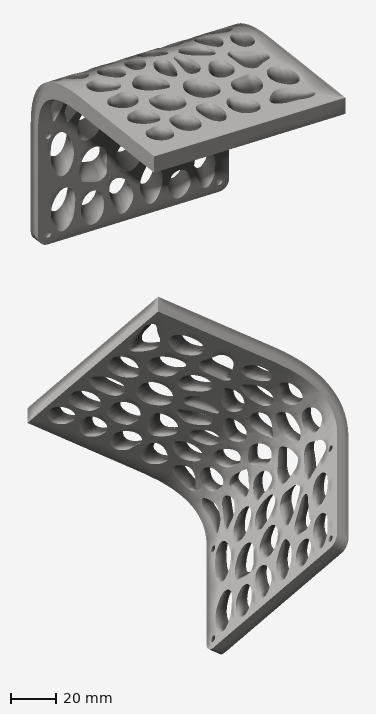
import cadquery as cq
import math

LENGTH = 103.0
WIDTH = 99.0
HEIGHT = 93.0
WALL_THICKNESS = 6.2
SHELF_THICKNESS = 8.2

BEND_LENGTH = 40.0
BEND_DROP = 32.9

CORNER_RADIUS = 5.2
SCREW_DIAMETER = 3.1
SCREW_EDGE_GAP = 5.0
SCREW_SPACING_Z = 50.0

OPENING_SLANT = 0.86
CUTTER_HALF_LENGTH = 92.7

SHELF_OPENINGS = [
    [(12.3, 36.8), (13.8, 41.1), (17.7, 42.4), (21.3, 41.9),
     (23.6, 38.3), (22.0, 34.8), (16.6, 30.9), (13.5, 32.4)],
    [(27.8, 38.3), (29.9, 41.9), (34.6, 43.3), (39.7, 42.0),
     (42.0, 38.3), (40.5, 34.9), (34.9, 33.7), (29.9, 35.2)],
    [(41.4, 28.5), (44.7, 34), (51.0, 40.7), (54.1, 40.7), (57.3, 35.6),
     (59.6, 29.3), (57.3, 26.7), (47.1, 25.6), (42.4, 26.2)],
    [(62.8, 36.4), (65.8, 41.1), (72.9, 42.5), (79.1, 40.7),
     (80.9, 37.2), (77.6, 32.4), (70.6, 30.4), (65.1, 32.4)],
    [(81.2, 28.5), (83.9, 34), (87.8, 37.5), (91.9, 41.0), (94.0, 38.7),
     (93.7, 30.9), (92.4, 22.6), (89.7, 19.6), (83.4, 23.4)],
    [(19.0, 25.3), (21.3, 30.1), (26.8, 31.6), (32.7, 30.1),
     (35.3, 26.9), (33, 24.2), (24.0, 21.4), (20.1, 22.6)],
    [(44.4, 17.5), (46.7, 21.0), (52.1, 22.4), (57.3, 20.6),
     (59.7, 15.9), (58.4, 11.5), (54.9, 10.2), (48.6, 12.4)],
    [(62.8, 22.3), (64.3, 25.8), (68.2, 26.4), (74.5, 24.6),
     (78.6, 19.1), (76.0, 13.5), (70.1, 11.7), (64.7, 14.3)],
    [(8.9, 12.0), (11.8, 15.6), (17.5, 18.6), (20.5, 16.3),
     (21.1, 12.0), (19.4, 8.7), (15.5, 7.7), (10.3, 10.0)],
    [(25.8, 13.5), (28.3, 19.1), (36.9, 22.6), (39.8, 21.4),
     (38.5, 16.7), (33.8, 10.8), (29.0, 9.2), (26.4, 11.2)],
    [(31.9, 5.7), (34.6, 8.9), (40.8, 10.3), (46.7, 9.6),
     (49.9, 5.3), (48.6, 2.5), (44.0, 2.2), (36.2, 3.5)],
    [(76.1, 6.5), (79.1, 11.2), (86.9, 14.5), (91.7, 12.4),
     (92.8, 8.4), (90.5, 3.7), (83.9, 1.5), (78.4, 3.3)],
    [(15.0, -0.6), (17.4, 4.1), (23.3, 6.0), (27.1, 4.8),
     (26.8, 0.9), (22.9, -4.2), (19.0, -5.9), (16.2, -4.2)],
    [(30.5, -1.9), (33, 0.7), (38.5, 0.3), (45.5, -1.9),
     (47.7, -3.8), (45.5, -6.5), (38.5, -8.3), (32.7, -6.2)],
    [(53.0, -1.4), (56.5, 4.8), (63.6, 7.5), (69, 6.1),
     (71.4, 0.9), (69, -4.9), (61.9, -7.3), (55.3, -4.9)],
    [(74.1, -7.3), (76.8, -3.0), (83.4, -1.9), (89.3, -3.4),
     (92.2, -6.9), (89.7, -10.5), (83.4, -12.2), (76.0, -11.2)],
    [(9.8, -14.0), (10.7, -10.1), (13.2, -8.8), (16.2, -10.7),
     (18.9, -18.3), (17.4, -20.7), (14.6, -21.5), (11.1, -19.2)],
    [(21.3, -12.1), (22.9, -8.1), (26.4, -7.2), (30.7, -8.9),
     (34, -13.2), (32.7, -16.0), (27.9, -16.9), (22.9, -15.2)],
    [(38.4, -16.4), (41.6, -12.1), (49.4, -9.6), (53.8, -10.7),
     (54.0, -15.6), (51.0, -21.9), (46.4, -24.7), (40.8, -21.9)],
    [(57.7, -20.3), (60.4, -14.0), (65.8, -11.4), (71.3, -13.2),
     (73.2, -17.9), (70.6, -24.2), (63.6, -26.3), (58.8, -24.6)],
    [(20.6, -25.0), (23.3, -21.1), (29.0, -20.0), (33.8, -21.1),
     (35.4, -23.9), (33, -27.8), (26.4, -30.6), (22.0, -28.6)],
    [(76.8, -23.1), (79.9, -17.2), (85.4, -15.6), (90.5, -17.2),
     (92.7, -21.5), (90.1, -26.3), (83.0, -27.8), (78.4, -26.3)],
    [(7.7, -30.6), (9.2, -25.9), (12.7, -25.0), (15.8, -26.3),
     (17.0, -29.4), (15.5, -33.7), (10.7, -36.6), (8.3, -34.9)],
    [(12.5, -41.6), (15.8, -36.9), (21.6, -33.2), (25.1, -35.3),
     (26.0, -38.8), (23.3, -41.6), (16.6, -43.8), (13.1, -43.0)],
    [(30.5, -36.9), (33.8, -31.3), (41.6, -28.5), (43.8, -31.3),
     (43.2, -36.1), (40.8, -40.8), (36.6, -42.3), (31.8, -40.0)],
    [(47.3, -33.7), (49.0, -28.9), (52.9, -27.6), (58.0, -29.8),
     (60.3, -34.1), (58.4, -39.7), (53.4, -42.3), (48.6, -39.2)],
    [(64.1, -35.6), (66.6, -30.6), (72.1, -28.6), (76.4, -29.8),
     (77.5, -33.7), (75.2, -39.2), (70.1, -42.3), (65.5, -39.7)],
    [(80.8, -36.9), (82.7, -32.1), (86.9, -30.7), (91.7, -32.1),
     (93.4, -36.5), (91.3, -40.8), (86.6, -42.7), (81.9, -40.4)],
]

WALL_OPENINGS = [
    [(42.4, 79.5), (40.3, 83.1), (36.4, 84.2), (32.0, 82.9),
     (30.3, 79.5), (32.0, 76.1), (36.6, 75.0), (40.7, 76.6)],
    [(28.3, 84.7), (25.8, 87.5), (22.6, 87.9), (18.6, 85.8), (17.5, 82.3),
     (20.2, 78.5), (23.8, 76.8), (26.6, 79.0), (27.9, 82.3)],
    [(6.5, 82.3), (4.1, 84.9), (-0.6, 86.0), (-5.4, 84.9),
     (-8.0, 82.3), (-4.9, 80.3), (2.5, 78.4), (5.7, 79.9)],
    [(-11.8, 81.9), (-14.0, 82.2), (-22.7, 82.5), (-24.5, 81.5), (-23.6, 78.0),
     (-20.7, 74.1), (-18.3, 73.1), (-15.6, 74.9), (-13.1, 78.8)],
    [(20.2, 71.3), (17.9, 75.2), (11.5, 79.8), (7.6, 76.4), (4.9, 69.3),
     (6.1, 66.1), (10.4, 64.6), (15.9, 66.1), (19.5, 68.5)],
    [(0.8, 72.5), (-1.4, 76.0), (-6.5, 77.5), (-11.2, 75.8),
     (-13.1, 71.3), (-12.1, 68), (-6.5, 68.2), (-1.4, 69.3)],
    [(-26.6, 75.2), (-28.2, 78.4), (-30.9, 79.4), (-33.7, 78.0), (-35.3, 73.7),
     (-35.8, 68.9), (-34.6, 66.0), (-31.7, 67.4), (-28.2, 70.5)],
    [(-37.3, 77.6), (-38.8, 81.5), (-42.3, 83.6), (-44.2, 81.9), (-44.0, 76.8),
     (-43.0, 71.3), (-41.6, 68), (-39.2, 70.5), (-37.6, 74.1)],
    [(41.0, 65.8), (38.7, 69.3), (33.3, 71.9), (26.9, 72.8), (24.8, 70.1),
     (24.6, 65.0), (25.3, 58.7), (27.3, 55.5), (30.9, 56.8), (37.6, 61.1)],
    [(21.2, 55.5), (18.2, 58.5), (13.5, 59.1), (8.0, 58.5), (6.2, 54.8), (7.2, 48.5),
     (9.2, 42.1), (11.5, 40.0), (14.3, 41.4), (18.2, 46.9), (20.5, 51.6)],
    [(2.4, 61.1), (0.2, 64.2), (-3.8, 64.7), (-8.5, 63.9), (-12.1, 60.7),
     (-12.7, 56.3), (-11.6, 52.0), (-8.9, 50.5), (-3.8, 52.0), (0.9, 55.9)],
    [(-15.8, 64.6), (-17.5, 68), (-21.5, 69.1), (-26.3, 67.4), (-29.2, 61.1),
     (-27.8, 55.9), (-23.1, 54.0), (-18.7, 56.3), (-16.4, 60.7)],
    [(-30.9, 49.2), (-33.3, 57.9), (-38.4, 62.0), (-41.9, 59.1),
     (-43.0, 50.9), (-41.6, 43.8), (-37.1, 39.6), (-32.5, 43.0)],
    [(42.4, 44.5), (40.7, 50.9), (36.7, 53.0), (32.2, 50.5),
     (30.8, 44.9), (32.4, 38.6), (36.7, 35.7), (40.7, 38.2)],
    [(29.6, 31.9), (27.7, 41.4), (25.8, 48.8), (24.2, 48.8), (19.9, 42.1),
     (17.1, 35.1), (17.9, 31.2), (23.4, 29.0), (28.5, 30.4)],
    [(4.5, 40.2), (2.9, 45.3), (-1.4, 47.8), (-6.5, 45.7),
     (-9.4, 40.2), (-7.7, 35.1), (-1.4, 31.6), (2.9, 34.7)],
    [(-13.9, 39.9), (-14.8, 46.5), (-18.7, 49.1), (-24.2, 47.7), (-28.0, 39.9),
     (-27.4, 34.7), (-23.5, 32.5), (-15.6, 32.3), (-14.0, 34.3)],
    [(42.3, 22.1), (40.3, 28.8), (36.4, 30.8), (32.7, 28.8),
     (31.3, 24.1), (33.3, 16.2), (37.4, 11.2), (41.5, 15.5)],
    [(29.6, 17.8), (27.7, 22.5), (23.8, 24.3), (19.5, 22.1),
     (18.1, 17.8), (19.5, 12.7), (23.6, 10.2), (28.1, 13.1)],
    [(15.0, 23.7), (12.8, 30.4), (9.8, 33.5), (6.1, 30.4),
     (3.4, 23.3), (4.8, 15.5), (9.2, 11.7), (13.5, 16.2)],
    [(-0.2, 19.4), (-2.2, 24.8), (-9.7, 29.9), (-12.1, 28.0),
     (-12.6, 23.7), (-10.9, 17.0), (-6.2, 11.2), (-2.2, 13.5)],
    [(-15.2, 19.4), (-16.8, 24.5), (-21.1, 27.3), (-25.9, 24.5), (-27.3, 19.4),
     (-25.9, 13.8), (-23.1, 10.7), (-19.6, 10.7), (-16.4, 13.8)],
    [(-30.2, 25.6), (-31.7, 31.2), (-35.3, 33.2), (-40.0, 30.4),
     (-42.9, 22.5), (-41.2, 15.5), (-36.9, 11.6), (-32.1, 15.5)],
]


def make_bracket():
    """Extrude the bent strip; both skins are parabolas tangent to the flats."""
    bend_bottom = HEIGHT - BEND_DROP
    inner_top = HEIGHT - SHELF_THICKNESS
    return (
        cq.Workplane("XZ", origin=(0, WIDTH / 2, 0))
        .lineTo(0, bend_bottom)
        .bezier([(0, bend_bottom), (0, HEIGHT), (BEND_LENGTH, HEIGHT)])
        .lineTo(LENGTH, HEIGHT)
        .lineTo(LENGTH, inner_top)
        .lineTo(BEND_LENGTH, inner_top)
        .bezier([(BEND_LENGTH, inner_top), (WALL_THICKNESS, inner_top), (WALL_THICKNESS, bend_bottom)])
        .lineTo(WALL_THICKNESS, 0)
        .close()
        .extrude(WIDTH)
        .edges("|X and <Z")
        .fillet(CORNER_RADIUS)
    )


def outer_z(x):
    """Height of the outer skin at x."""
    if x >= BEND_LENGTH:
        return HEIGHT
    return HEIGHT - BEND_DROP * (1 - math.sqrt(x / BEND_LENGTH)) ** 2


def outer_x(z):
    """Position of the outer skin at height z."""
    drop = HEIGHT - z
    if drop >= BEND_DROP:
        return 0.0
    return BEND_LENGTH * (1 - math.sqrt(drop / BEND_DROP)) ** 2


def make_opening(rim):
    """Prism along the slanted direction through the rim points of the outer skin."""
    plane = cq.Plane(origin=(0, 0, HEIGHT), xDir=(0, 1, 0), normal=(OPENING_SLANT, 0, -1))
    local_points = [plane.toLocalCoords(cq.Vector(*point)) for point in rim]
    outline = [(point.x, point.y) for point in local_points]
    return (
        cq.Workplane(plane)
        .workplane(offset=-CUTTER_HALF_LENGTH)
        .spline(outline, periodic=True)
        .close()
        .extrude(2 * CUTTER_HALF_LENGTH)
        .val()
    )


def make_screw_holes():
    """Four straight holes through the wall."""
    screw_y = WIDTH / 2 - SCREW_EDGE_GAP
    heights = (SCREW_EDGE_GAP, SCREW_EDGE_GAP + SCREW_SPACING_Z)
    centers = [(y, z) for y in (-screw_y, screw_y) for z in heights]
    return (
        cq.Workplane("YZ")
        .pushPoints(centers)
        .circle(SCREW_DIAMETER / 2)
        .extrude(WALL_THICKNESS)
    )


rims = [[(x, y, outer_z(x)) for x, y in points] for points in SHELF_OPENINGS]
rims += [[(outer_x(z), y, z) for y, z in points] for points in WALL_OPENINGS]
openings = [make_opening(rim) for rim in rims]

bracket = make_bracket().cut(make_screw_holes())
result = cq.Workplane(bracket.val().cut(*openings))